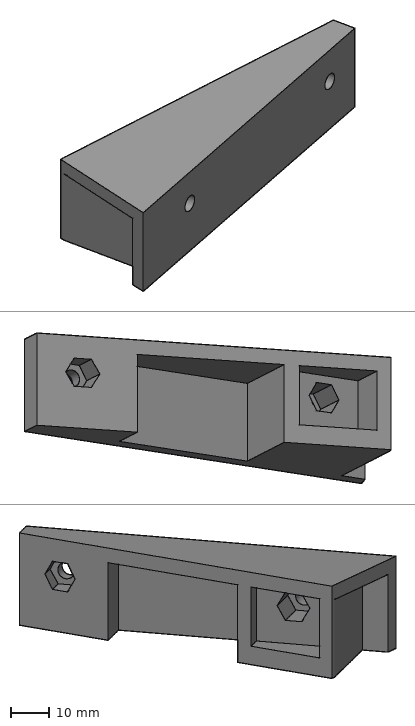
import cadquery as cq
import math

base_width = 32.4
length = 96.6
height = 25.0
slope_angle = 15.0
slope_tan = math.tan(math.radians(slope_angle))

wall = 4.0
recess_height = height - wall
pocket_start = 12.0
pocket_end = 32.1
pocket_bottom = 5.0
pocket_floor_depth = 19.9
middle_recess_end = 74.0

hole_diameter = 4.5
nut_across_flats = 7.6
nut_height = 15.1
upper_nut_along = 88.1
upper_nut_depth = wall
lower_nut_along = (pocket_start + pocket_end) / 2
lower_nut_depth = 10.0
clearance = 2 * base_width

angle = math.radians(slope_angle)
slope_direction = cq.Vector(-math.sin(angle), math.cos(angle), 0)
inward = cq.Vector(-math.cos(angle), -math.sin(angle), 0)
slope_foot = cq.Vector(base_width, 0, 0)
slope_frame = cq.Plane(origin=slope_foot, xDir=slope_direction, normal=(0, 0, 1))


def wedge():
    """Trapezoidal block whose far end is square to the sloped face."""
    tip_width = base_width - length * slope_tan
    outline = [
        (0, 0),
        (base_width, 0),
        (tip_width, length),
        (0, length - tip_width * slope_tan),
    ]
    return cq.Workplane("XY").polyline(outline).close().extrude(height)


def recess(start, end, floor_depth, bottom):
    """Box square to the sloped face, from its floor out through the opposite side."""
    return (
        cq.Workplane(slope_frame)
        .workplane(offset=bottom)
        .moveTo(start, floor_depth)
        .rect(end - start, clearance, centered=False)
        .extrude(recess_height - bottom)
    )


def screw_hole(along, nut_depth, nut_end_depth):
    """Round hole through the sloped face, widening to a hexagon at the nut depth."""
    foot = slope_foot + slope_direction * along + cq.Vector(0, 0, nut_height)
    hole_plane = cq.Plane(origin=foot, xDir=slope_direction, normal=inward)
    nut_across_corners = nut_across_flats / math.cos(math.pi / 6)
    hole = cq.Workplane(hole_plane).circle(hole_diameter / 2).extrude(nut_end_depth)
    nut = (
        cq.Workplane(hole_plane)
        .workplane(offset=nut_depth)
        .polygon(6, nut_across_corners)
        .extrude(nut_end_depth - nut_depth)
    )
    return hole.union(nut)


front_recess = recess(-clearance, pocket_start - wall, wall, 0)
middle_recess = recess(pocket_end + wall, middle_recess_end, wall, 0)
nut_pocket = recess(pocket_start, pocket_end, pocket_floor_depth, pocket_bottom)

result = (
    wedge()
    .cut(front_recess)
    .cut(middle_recess)
    .cut(nut_pocket)
    .cut(screw_hole(lower_nut_along, lower_nut_depth, pocket_floor_depth))
    .cut(screw_hole(upper_nut_along, upper_nut_depth, clearance))
)